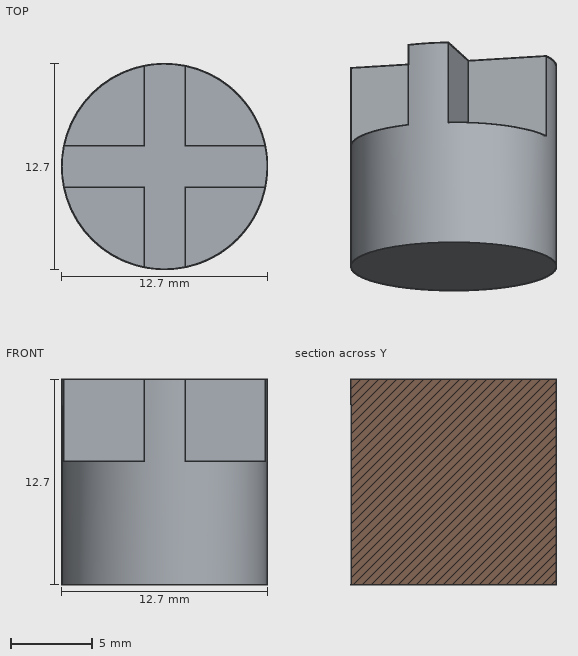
import cadquery as cq

diameter = 12.7
total_height = 12.7
cross_height = 5.08
bar_width = 2.54

base_height = total_height - cross_height


def cross_bar(size_x, size_y):
    """One straight bar of the cross, standing on top of the base."""
    return (
        cq.Workplane("XY")
        .workplane(offset=base_height)
        .rect(size_x, size_y)
        .extrude(cross_height)
    )


def cross_tenon():
    """Two crossed bars, trimmed to the round outline of the base."""
    bars = cross_bar(diameter, bar_width).union(cross_bar(bar_width, diameter))
    envelope = cq.Workplane("XY").circle(diameter / 2).extrude(total_height)
    return bars.intersect(envelope)


base = cq.Workplane("XY").circle(diameter / 2).extrude(base_height)
result = base.union(cross_tenon(), clean=True)